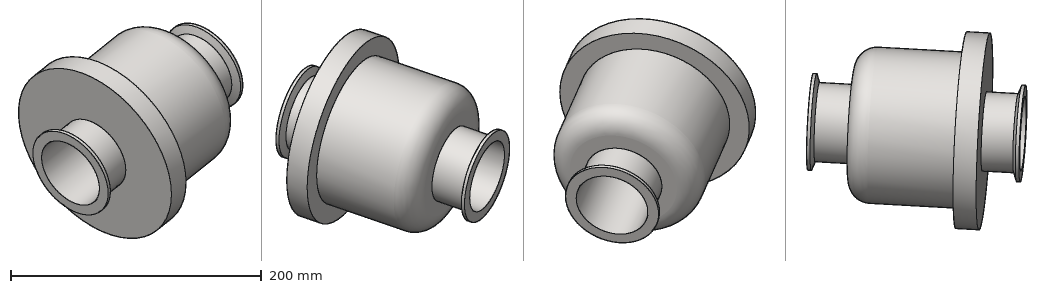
import cadquery as cq

total_length = 170.0

bore_diameter = 59.5
tube_diameter = 63.5
ferrule_diameter = 77.5
body_diameter = 125.0
flange_diameter = 157.5

ferrule_rim = 2.85
ferrule_taper = 2.6
inlet_length = 30.8
flange_thickness = 18.5
outlet_length = 33.0
shoulder_radius = 18.0

inlet_end = -total_length / 2
outlet_end = total_length / 2
flange_front = inlet_end + inlet_length
shoulder_end = outlet_end - outlet_length


def cylinder(diameter, start, end):
    """Solid cylinder on the Y axis between two stations."""
    sketch = cq.Workplane("XZ", origin=(0, start, 0)).circle(diameter / 2)
    return sketch.extrude(start - end)


def ferrule(face, inward):
    """Clamp ferrule whose flat face is at 'face'; 'inward' is the sign of Y toward the part."""
    rim_back = face + inward * ferrule_rim
    taper_back = rim_back + inward * ferrule_taper
    profile = [
        (0, face),
        (ferrule_diameter / 2, face),
        (ferrule_diameter / 2, rim_back),
        (tube_diameter / 2, taper_back),
        (0, taper_back),
    ]
    return cq.Workplane("XY").polyline(profile).close().revolve(360, (0, 0, 0), (0, 1, 0))


def body():
    """Cylindrical housing with a rounded shoulder at its outlet end."""
    return cylinder(body_diameter, flange_front, shoulder_end).faces(">Y").edges().fillet(shoulder_radius)


flange = cylinder(flange_diameter, flange_front, flange_front + flange_thickness)
tube = cylinder(tube_diameter, inlet_end, outlet_end)
bore = cylinder(bore_diameter, inlet_end, outlet_end)

result = (
    body()
    .union(flange)
    .union(tube)
    .union(ferrule(inlet_end, 1))
    .union(ferrule(outlet_end, -1))
    .cut(bore)
)